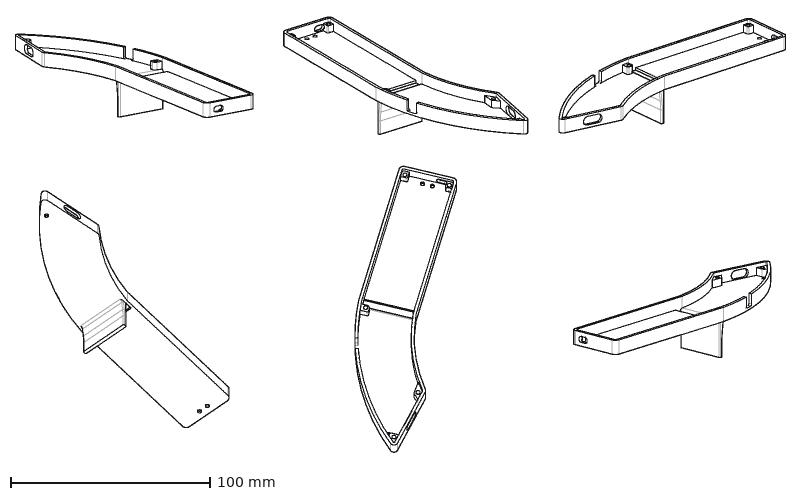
import cadquery as cq
import math


tray_length = 80.5
tray_width = 30.0
shell_height = 7.5
wall = 1.5
floor_thickness = 1.4
tray_corner_radius = 2.5
arm_corner_radius = 2.0

arc_center_x = 9.5
arc_center_y = -114.1
end_face_angle = 10.3
end_face_distance = 57.8

slot_width = 3.7
slot_lip_radius = 1.4
flap_thickness = 1.9
flap_right_x = 1.1
flap_depth = 19.0
flap_edge_radius = 0.6
gusset_reach = 1.1
gusset_height = 9.0
gusset_root_radius = 1.4
gusset_blend_radius = 42.1

boss_top = 5.5
boss_size = 3.6
boss_corner_radius = 0.6
boss_round_radius = 1.5
joint_boss_left = -4.0
joint_boss_right = -0.3
joint_boss_lower = -6.1
tip_boss_right = -68.0
tip_boss_upper = -34.3
heel_boss_points = [(-51.0, -48.4), (-43.1, -40.5), (-36.5, -40.9), (-36.5, -48.4)]
hole_diameter = 2.0
boss_holes = [(77.0, -3.5), (77.0, -26.5), (-1.9, -4.2), (-70.0, -37.3), (-42.0, -42.3)]
floor_holes = [(76.5, -12.6), (76.5, -17.8), (-67.0, -33.5)]

port_length = 10.6
port_height = 4.7
port_x = -58.0
port_z = 3.9
gap_width = 6.1
gap_x = -24.0
gap_corner_radius = 1.0
cable_hole_y = -22.2
cable_hole_length = 5.6
cable_hole_height = 3.1
cable_hole_z = 3.6

cut_depth = 1.5 * wall
outer_radius = math.hypot(arc_center_x, arc_center_y)
inner_radius = math.hypot(arc_center_x, arc_center_y + tray_width)


def arc_point(radius, y):
    """Point at height y on the left half of a circle about the arc centre."""
    return (arc_center_x - math.sqrt(radius**2 - (y - arc_center_y)**2), y)


def end_corner(radius, inset):
    """Sharp corner where an arc of the arm meets the end face moved inwards by inset."""
    angle = math.radians(end_face_angle)
    distance = end_face_distance + inset
    half_chord = math.sqrt(radius**2 - distance**2)
    x = arc_center_x + distance * math.sin(angle) - half_chord * math.cos(angle)
    y = arc_center_y + distance * math.cos(angle) + half_chord * math.sin(angle)
    return (x, y)


def box(x_min, x_max, y_min, y_max, z_min, z_max):
    size = (x_max - x_min, y_max - y_min, z_max - z_min)
    return cq.Workplane("XY").box(*size, centered=False).translate((x_min, y_min, z_min))


def drill(x, y, z_min, z_max):
    return cq.Workplane("XY", origin=(x, y, z_min)).circle(hole_diameter / 2).extrude(z_max - z_min)


def plan_block(inset, z_min, z_max):
    """Plan outline of tray and arm, moved inwards by inset, with rounded corners."""
    right = tray_length - inset
    upper = -inset
    lower = inset - tray_width
    outer = outer_radius - inset
    inner = inner_radius + inset
    tip = end_corner(outer, inset)
    heel = end_corner(inner, inset)
    block = (
        cq.Workplane("XY", origin=(0, 0, z_min))
        .moveTo(right, upper)
        .lineTo(*arc_point(outer, upper))
        .threePointArc(arc_point(outer, (upper + tip[1]) / 2), tip)
        .lineTo(*heel)
        .threePointArc(arc_point(inner, (lower + heel[1]) / 2), arc_point(inner, lower))
        .lineTo(right, lower)
        .close()
        .extrude(z_max - z_min)
    )
    block = block.edges("|Z and >X").fillet(tray_corner_radius - inset)
    for x, y in (tip, heel):
        corner = cq.selectors.NearestToPointSelector((x, y, (z_min + z_max) / 2))
        block = block.edges("|Z").edges(corner).fillet(arm_corner_radius - inset)
    return block


def make_bosses(cavity):
    """Screw bosses in the corners, trimmed to the inside of the walls."""
    corner_x = tray_length - wall - boss_size
    upper_y = -wall - boss_size
    lower_y = wall - tray_width + boss_size
    corner_upper = box(corner_x, tray_length, upper_y, 0, 0, boss_top)
    corner_lower = box(corner_x, tray_length, -tray_width, lower_y, 0, boss_top)
    reach = -tray_length
    joint = box(joint_boss_left, joint_boss_right, joint_boss_lower, 0, 0, boss_top)
    tip = box(reach, tip_boss_right, reach, tip_boss_upper, 0, boss_top)
    heel = cq.Workplane("XY").polyline(heel_boss_points).close().extrude(boss_top)

    corner_upper = corner_upper.edges("|Z and <X and <Y").fillet(boss_corner_radius)
    corner_lower = corner_lower.edges("|Z and <X and >Y").fillet(boss_corner_radius)
    joint = joint.edges("|Z and <X and <Y").fillet(boss_corner_radius)
    joint = joint.edges("|Z and >X and <Y").fillet(boss_round_radius)
    tip = tip.edges("|Z and >X and >Y").fillet(boss_round_radius)

    bosses = corner_upper.union(corner_lower).union(joint).union(tip).union(heel)
    return bosses.intersect(cavity)


def make_flap():
    """Hanging flap with a tapered gusset on its arm side."""
    left = flap_right_x - flap_thickness
    root = left - gusset_reach
    root_end = root - 2 * gusset_root_radius
    embedded = floor_thickness / 2
    width = tray_width - 2 * wall
    flap = (
        cq.Workplane("XZ", origin=(0, -wall, 0))
        .polyline([
            (root_end, embedded),
            (root_end, 0),
            (root, 0),
            (left, -gusset_height),
            (left, -flap_depth),
            (flap_right_x, -flap_depth),
            (flap_right_x, embedded),
        ])
        .close()
        .extrude(width)
    )
    for x, z, radius in ((root, 0, gusset_root_radius), (left, -gusset_height, gusset_blend_radius)):
        bend = cq.selectors.NearestToPointSelector((x, -wall - width / 2, z))
        flap = flap.edges("|Y").edges(bend).fillet(radius)
    side_edges = flap.faces("<Y or >Y").edges("not (>Z or <Z)")
    return side_edges.fillet(flap_edge_radius)


def slot_lip():
    """Material removed where the floor rounds over from the arm into the flap face."""
    start = flap_right_x - slot_lip_radius
    return (
        cq.Workplane("XZ", origin=(0, -wall, 0))
        .moveTo(start, floor_thickness)
        .radiusArc((flap_right_x, floor_thickness - slot_lip_radius), slot_lip_radius)
        .lineTo(flap_right_x, floor_thickness)
        .close()
        .extrude(tray_width - 2 * wall)
    )


def port():
    """Rounded port through the end face, square to it."""
    angle = math.radians(end_face_angle)
    along = (math.cos(angle), -math.sin(angle), 0)
    tip = end_corner(outer_radius, 0)
    y = tip[1] - (port_x - tip[0]) * math.tan(angle)
    plane = cq.Plane(origin=(port_x, y, port_z), xDir=along, normal=(math.sin(angle), math.cos(angle), 0))
    return cq.Workplane(plane).slot2D(port_length, port_height).extrude(cut_depth, both=True)


def wall_gap():
    """Gap through the outer arc wall, open at the top."""
    turn = math.degrees(math.asin((gap_x - arc_center_x) / outer_radius))
    gap = box(-gap_width / 2, gap_width / 2, -cut_depth, cut_depth, floor_thickness, shell_height)
    gap = gap.edges("|Y and <Z").fillet(gap_corner_radius)
    return (
        gap.translate((arc_center_x, arc_center_y + outer_radius, 0))
        .rotate((arc_center_x, arc_center_y, 0), (arc_center_x, arc_center_y, 1), -turn)
    )


def cable_hole():
    """Rounded hole through the end wall of the tray."""
    return (
        cq.Workplane("YZ", origin=(tray_length, cable_hole_y, cable_hole_z))
        .slot2D(cable_hole_length, cable_hole_height)
        .extrude(cut_depth, both=True)
    )


cavity = plan_block(wall, floor_thickness, shell_height)
result = plan_block(0, 0, shell_height).cut(cavity).union(make_bosses(cavity)).union(make_flap())

slot = box(flap_right_x, flap_right_x + slot_width, wall - tray_width, -wall, 0, floor_thickness)
result = result.cut(slot).cut(slot_lip()).cut(port()).cut(wall_gap()).cut(cable_hole())
for x, y in floor_holes:
    result = result.cut(drill(x, y, 0, floor_thickness))
for x, y in boss_holes:
    result = result.cut(drill(x, y, floor_thickness, boss_top))